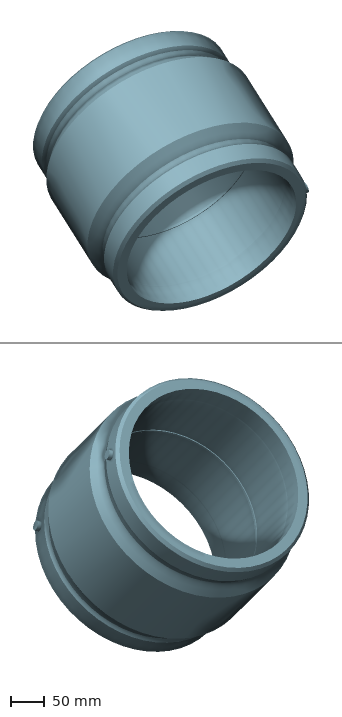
import cadquery as cq

length = 274.0
body_diameter = 341.0
collar_diameter = 320.5
neck_diameter = 311.0
collar_edge_bevel = 4.8
collar_width = 39.5
neck_width = 10.2
taper_width = 19.0

bore_diameter = 280.0
socket_diameter = 280.3
socket_depth = 34.5
socket_cone_width = 2.7
rib_diameter = 277.2
rib_width = 4.0

boss_diameter = 15.5
boss_tip_y = 166.7
boss_end_distance = 19.0
boss_root_y = collar_diameter / 2 - 6.8

half_length = length / 2


def revolve_mirrored(right_side):
    """Revolve a solid about the X axis from (x, radius) points, mirrored to the -X side."""
    left_side = [(-x, radius) for x, radius in reversed(right_side)]
    return cq.Workplane("XY").polyline(left_side + right_side).close().revolve(360, (0, 0), (1, 0))


def make_sleeve():
    """Solid with the outer shape of the sleeve."""
    body_radius = body_diameter / 2
    collar_radius = collar_diameter / 2
    neck_radius = neck_diameter / 2
    end_radius = collar_radius - collar_edge_bevel
    collar_inner_x = half_length - collar_width
    taper_outer_x = collar_inner_x - neck_width
    taper_inner_x = taper_outer_x - taper_width
    right_side = [
        (taper_inner_x, body_radius),
        (taper_outer_x, neck_radius),
        (collar_inner_x, neck_radius),
        (collar_inner_x + collar_edge_bevel, collar_radius),
        (half_length - collar_edge_bevel, collar_radius),
        (half_length, end_radius),
        (half_length, 0),
    ]
    return revolve_mirrored(right_side)


def make_bore():
    """Solid that fills the open space inside the sleeve."""
    rib_edge_x = rib_width / 2
    socket_x = half_length - socket_depth
    right_side = [
        (rib_edge_x, rib_diameter / 2),
        (rib_edge_x, bore_diameter / 2),
        (socket_x - socket_cone_width, bore_diameter / 2),
        (socket_x, socket_diameter / 2),
        (half_length, socket_diameter / 2),
        (half_length, 0),
    ]
    return revolve_mirrored(right_side)


def make_boss(x):
    """Round boss pointing toward +Y."""
    boss = cq.Workplane("XZ", origin=(x, boss_root_y, 0)).circle(boss_diameter / 2)
    return boss.extrude(boss_root_y - boss_tip_y)


result = make_sleeve().cut(make_bore())

boss_x = half_length - boss_end_distance
for x in (-boss_x, boss_x):
    result = result.union(make_boss(x))